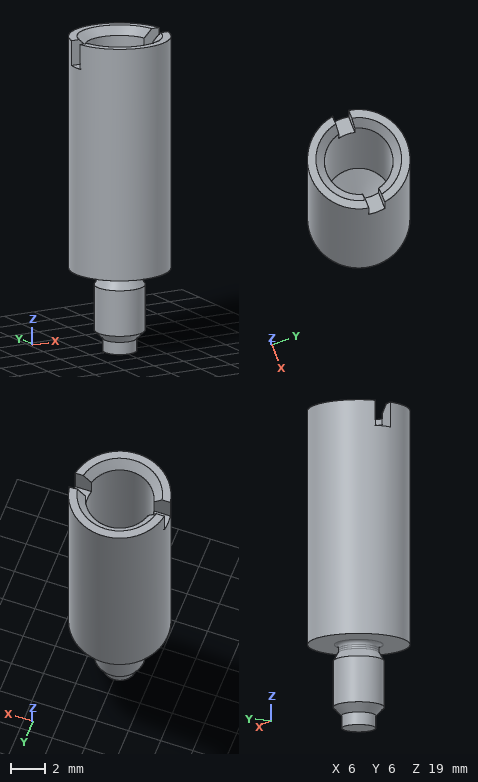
import cadquery as cq
import math

total_height = 19.0
sleeve_bottom = 5.0
sleeve_radius = 3.0

bore_radius = 2.0
bore_depth = 10.0
drill_point_angle = 118.0
bore_chamfer = 0.5

slot_width = 1.0
slot_depth = 1.5

tip_radius = 1.0
tip_length = 0.75
shank_radius = 1.5
groove_width = 1.0
groove_radius = 1.175
groove_runout_angle = 30.0
groove_fillet = 0.25


def make_outside():
    """Revolve the outline of the stud and sleeve about Z."""
    shank_bottom = tip_length + shank_radius - tip_radius
    shank_top = sleeve_bottom - groove_width
    runout = math.radians(groove_runout_angle)

    runout_height = (shank_radius - groove_radius) / math.tan(runout)
    corner_z = shank_top + runout_height
    tangent_length = groove_fillet * math.tan(runout / 2)
    cone_end = (
        groove_radius + tangent_length * math.sin(runout),
        corner_z - tangent_length * math.cos(runout),
    )
    lower_fillet_top = corner_z + tangent_length
    fillet_center_r = groove_radius + groove_fillet
    lower_fillet_mid = (
        fillet_center_r - groove_fillet * math.cos(runout / 2),
        lower_fillet_top - groove_fillet * math.sin(runout / 2),
    )

    upper_fillet_bottom = sleeve_bottom - groove_fillet
    upper_fillet_mid = (
        fillet_center_r - groove_fillet * math.cos(math.pi / 4),
        upper_fillet_bottom + groove_fillet * math.sin(math.pi / 4),
    )

    outline = (
        cq.Workplane("XZ")
        .moveTo(0, 0)
        .lineTo(tip_radius, 0)
        .lineTo(tip_radius, tip_length)
        .lineTo(shank_radius, shank_bottom)
        .lineTo(shank_radius, shank_top)
        .lineTo(*cone_end)
        .threePointArc(lower_fillet_mid, (groove_radius, lower_fillet_top))
        .lineTo(groove_radius, upper_fillet_bottom)
        .threePointArc(upper_fillet_mid, (fillet_center_r, sleeve_bottom))
        .lineTo(sleeve_radius, sleeve_bottom)
        .lineTo(sleeve_radius, total_height)
        .lineTo(0, total_height)
        .close()
    )
    return outline.revolve(360, (0, 0, 0), (0, 1, 0))


def make_bore():
    """Chamfered blind bore with a conical floor, as a cutting body."""
    floor_z = total_height - bore_depth
    point_height = bore_radius / math.tan(math.radians(drill_point_angle / 2))
    outline = (
        cq.Workplane("XZ")
        .moveTo(0, floor_z - point_height)
        .lineTo(bore_radius, floor_z)
        .lineTo(bore_radius, total_height - bore_chamfer)
        .lineTo(bore_radius + bore_chamfer, total_height)
        .lineTo(0, total_height)
        .close()
    )
    return outline.revolve(360, (0, 0, 0), (0, 1, 0))


def make_slot():
    """Driver slot along X through both sides of the rim, as a cutting body."""
    return (
        cq.Workplane("XY", origin=(0, 0, total_height - slot_depth))
        .rect(2 * sleeve_radius, slot_width)
        .extrude(slot_depth)
    )


result = make_outside().cut(make_bore()).cut(make_slot())